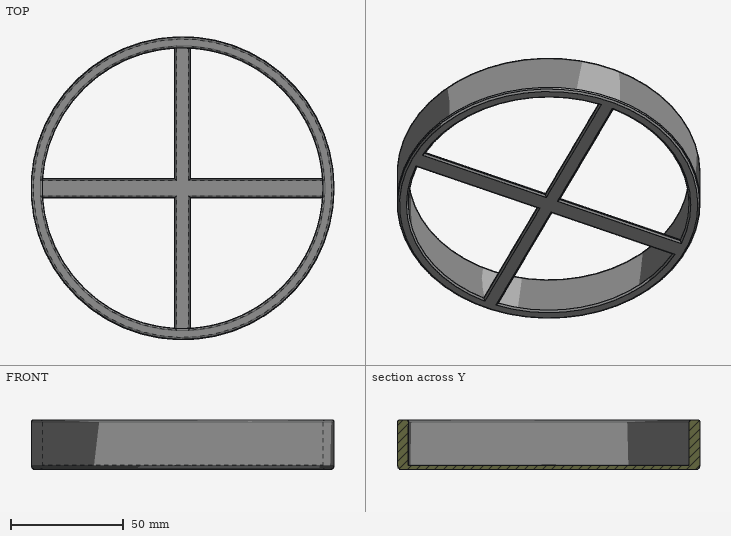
import cadquery as cq

outer_diameter = 134.5
bore_diameter = 124.5
ring_height = 22.0
top_edge_radius = 1.0

bevel_band_height = 0.8
upper_bevel_inset = 0.3
lower_bevel_inset = 0.8

x_bar_width = 8.5
y_bar_width = 7.0
bar_thickness = 2.0
bar_radius = 0.8

underside_chamfer = 0.8

outer_radius = outer_diameter / 2
bore_radius = bore_diameter / 2


def make_ring():
    """Ring with rounded top edges and bevels around its bottom."""
    upper_bevel_radius = outer_radius - upper_bevel_inset
    bottom_radius = upper_bevel_radius - lower_bevel_inset
    profile = (
        cq.Workplane("XZ")
        .moveTo(bore_radius, underside_chamfer)
        .lineTo(bore_radius + underside_chamfer, 0)
        .lineTo(bottom_radius, 0)
        .lineTo(upper_bevel_radius, bevel_band_height)
        .lineTo(outer_radius, 2 * bevel_band_height)
        .lineTo(outer_radius, ring_height)
        .lineTo(bore_radius, ring_height)
        .close()
    )
    body = profile.revolve(360, (0, 0, 0), (0, 1, 0))
    return body.faces(">Z").edges().fillet(top_edge_radius)


def make_cross():
    """Crossed bars with rounded upper edges, chamfered lower edges and ends inside the ring wall."""
    wall_middle_radius = (outer_radius + bore_radius) / 2
    x_bar = cq.Workplane("XY").rect(outer_diameter, x_bar_width).extrude(bar_thickness)
    y_bar = cq.Workplane("XY").rect(y_bar_width, outer_diameter).extrude(bar_thickness)
    cross = x_bar.union(y_bar).faces(">Z").edges().fillet(bar_radius)
    cross = cross.faces("<Z").edges().chamfer(underside_chamfer)
    trim = cq.Workplane("XY").circle(wall_middle_radius).extrude(bar_thickness)
    return cross.intersect(trim)


result = make_ring().union(make_cross())